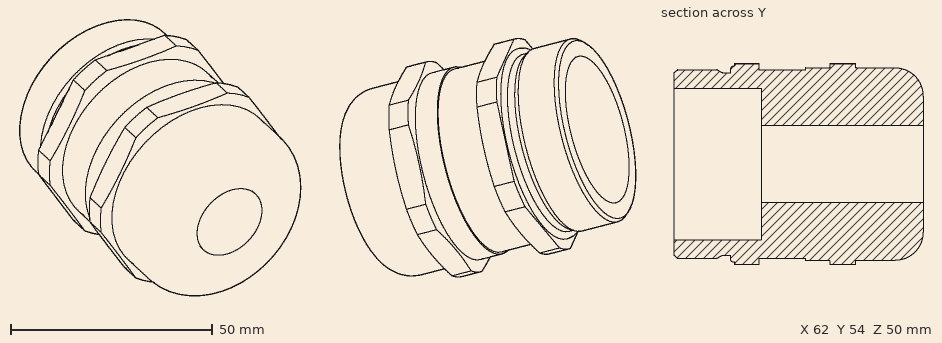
import cadquery as cq
import math

length = 62.0

thread_diameter = 47.0
neck_diameter = 45.5
entry_chamfer_length = 0.85
thread_end = 10.7
neck_start = 12.0

collar_diameter = 48.85
collar_start = 14.0
collar_round = 0.75

across_flats = 50.0
across_corners = 53.95
hex_chamfer_diameter = 49.6
hex_chamfer_length = 0.6
body_hex_start = 15.05
body_hex_end = 21.15
cap_hex_start = 38.7
cap_hex_end = 45.2

cap_diameter = 48.0
cap_start = 32.7
dome_radius = 7.05

bore_diameter = 37.6
cable_hole_diameter = 19.0
bore_depth = 21.7


def make_body():
    """Solid of revolution: thread, neck, collar, body and domed cap."""
    thread_r = thread_diameter / 2
    neck_r = neck_diameter / 2
    collar_r = collar_diameter / 2
    cap_r = cap_diameter / 2
    dome_start = length - dome_radius
    dome_diagonal = dome_radius * 0.5 ** 0.5
    collar_diagonal = collar_round * (1 - 0.5 ** 0.5)
    return (
        cq.Workplane("XY")
        .moveTo(0, 0)
        .lineTo(0, neck_r)
        .lineTo(entry_chamfer_length, thread_r)
        .lineTo(thread_end, thread_r)
        .lineTo(neck_start, neck_r)
        .lineTo(collar_start, neck_r)
        .lineTo(collar_start, collar_r - collar_round)
        .threePointArc(
            (collar_start + collar_diagonal, collar_r - collar_diagonal),
            (collar_start + collar_round, collar_r),
        )
        .lineTo(body_hex_start, collar_r)
        .lineTo(body_hex_start, thread_r)
        .lineTo(cap_start, thread_r)
        .lineTo(cap_start, cap_r)
        .lineTo(dome_start, cap_r)
        .threePointArc(
            (dome_start + dome_diagonal, cap_r - dome_radius + dome_diagonal),
            (length, cap_r - dome_radius),
        )
        .lineTo(length, 0)
        .close()
        .revolve(360, (0, 0, 0), (1, 0, 0))
    )


def make_hexagon(start, end, chamfer_start):
    """Hexagon with flats facing +Z and -Z, its corners turned down and chamfered."""
    corner_r = across_corners / 2
    chamfer_r = hex_chamfer_diameter / 2
    prism = (
        cq.Workplane("YZ", origin=(start, 0, 0))
        .polygon(6, across_flats / math.cos(math.radians(30)))
        .extrude(end - start)
    )
    envelope = cq.Workplane("XY").moveTo(start, 0)
    if chamfer_start:
        envelope = envelope.lineTo(start, chamfer_r).lineTo(start + hex_chamfer_length, corner_r)
    else:
        envelope = envelope.lineTo(start, corner_r)
    envelope = (
        envelope.lineTo(end - hex_chamfer_length, corner_r)
        .lineTo(end, chamfer_r)
        .lineTo(end, 0)
        .close()
        .revolve(360, (0, 0, 0), (1, 0, 0))
    )
    return prism.intersect(envelope)


def make_bore():
    """Wide bore from the threaded end, then a cable hole through the cap."""
    wide_bore = cq.Workplane("YZ").circle(bore_diameter / 2).extrude(bore_depth)
    cable_hole = cq.Workplane("YZ").circle(cable_hole_diameter / 2).extrude(length)
    return wide_bore.union(cable_hole)


result = (
    make_body()
    .union(make_hexagon(body_hex_start, body_hex_end, chamfer_start=False))
    .union(make_hexagon(cap_hex_start, cap_hex_end, chamfer_start=True))
    .cut(make_bore())
)